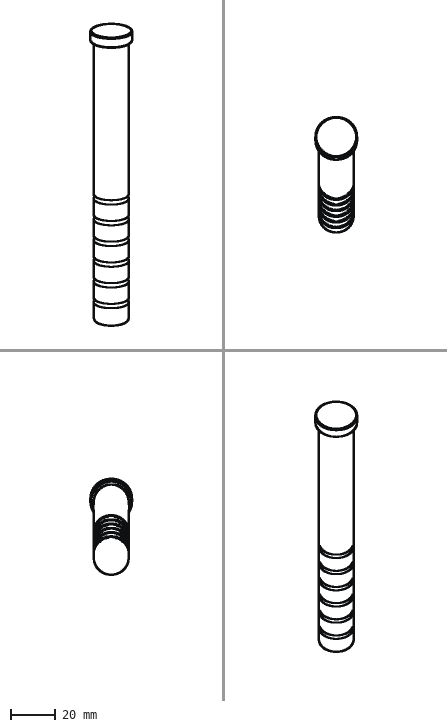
import cadquery as cq

total_length = 140.0
head_radius = 9.5
head_height = 5.0
head_chamfer = 0.5
shank_radius = 8.0
tip_radius = 1.5

relief_depth = 0.17
relief_height = 1.5
relief_cone_height = 0.5

groove_count = 6
groove_pitch = total_length / 14
groove_width = 2.1
groove_depth = 0.5

head_bottom = total_length - head_height


def turned_ring(half_profile):
    """Revolve a closed (radius, height) profile about the Z axis."""
    return cq.Workplane("XZ").polyline(half_profile).close().revolve(360, (0, 0), (0, 1))


def make_shank():
    shank = cq.Workplane("XY").circle(shank_radius).extrude(head_bottom)
    return shank.faces("<Z").edges().fillet(tip_radius)


def make_head():
    head = cq.Workplane("XY").workplane(offset=head_bottom).circle(head_radius).extrude(head_height)
    return head.faces("<Z or >Z").edges().chamfer(head_chamfer)


def make_relief():
    relief_bottom = head_bottom - relief_height
    neck_radius = shank_radius - relief_depth
    return turned_ring([
        (shank_radius, relief_bottom),
        (neck_radius, relief_bottom + relief_cone_height),
        (neck_radius, head_bottom),
        (head_radius, head_bottom),
        (head_radius, relief_bottom),
    ])


def make_groove(center_height):
    half_profile = (
        cq.Workplane("XZ")
        .moveTo(shank_radius, center_height - groove_width / 2)
        .threePointArc(
            (shank_radius - groove_depth, center_height),
            (shank_radius, center_height + groove_width / 2),
        )
        .close()
    )
    return half_profile.revolve(360, (0, 0), (0, 1))


shank = make_shank().cut(make_relief())
for groove_number in range(1, groove_count + 1):
    shank = shank.cut(make_groove(groove_number * groove_pitch))

result = shank.union(make_head())